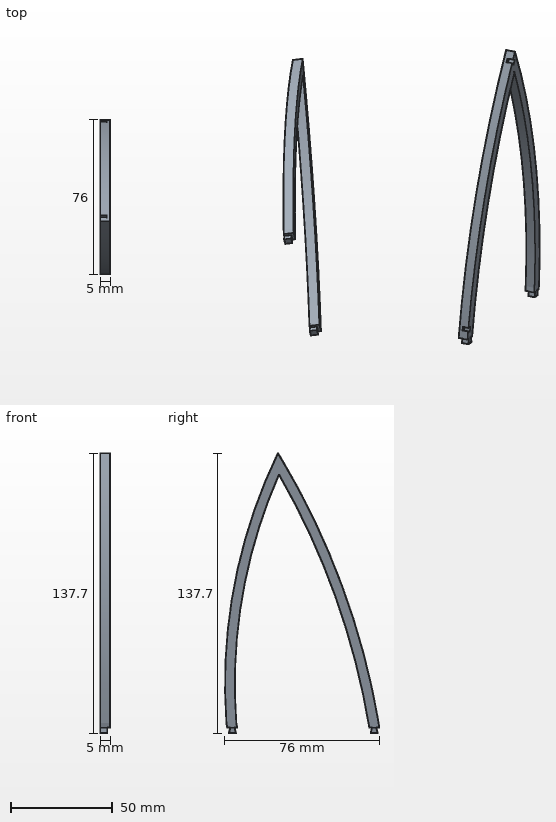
import cadquery as cq
import math

thickness = 5.0
rail_width = 5.0
foot_height = 2.8

long_centre = (-331.4, -57.2)
long_radius = 374.2
short_centre = (222.5, 24.1)
short_radius = 260.5

heel_height = 5.1
heel_shift = 0.4

tab_neck = 2.2
tab_tip = 3.6
tab_thickness = 3.6
tab_centres_y = (35.4, -34.3)
socket_mouth = 1.8
socket_base = 2.5
socket_depth = 1.9
socket_thickness = 3.2
socket_heights = (7.7, 133.3)


def arc_point(centre, radius, side, z):
    """Point of a circle at height z, on its +Y (side 1) or -Y (side -1) half."""
    return (centre[0] + side * math.sqrt(radius**2 - (z - centre[1]) ** 2), z)


def apex(long_r, short_r):
    """Upper crossing of a circle of the long rail and one of the short rail."""
    dy = short_centre[0] - long_centre[0]
    dz = short_centre[1] - long_centre[1]
    distance = math.hypot(dy, dz)
    along = (distance**2 + long_r**2 - short_r**2) / (2 * distance)
    across = math.sqrt(long_r**2 - along**2)
    y = long_centre[0] + (along * dy - across * dz) / distance
    z = long_centre[1] + (along * dz + across * dy) / distance
    return (y, z)


def prism(sketch, depth):
    """Close an outline and extrude it along X from the flat face at X = 0."""
    return sketch.close().extrude(depth)


def arch(inset):
    """Closed area under the arch, bounded by both rail circles moved inwards."""
    long_r = long_radius - inset
    short_r = short_radius - inset
    tip = apex(long_r, short_r)
    middle_z = (heel_height + tip[1]) / 2
    heel_top = arc_point(short_centre, short_r, -1, heel_height)
    sketch = (
        cq.Workplane("YZ")
        .moveTo(*arc_point(long_centre, long_r, 1, foot_height))
        .threePointArc(arc_point(long_centre, long_r, 1, middle_z), tip)
        .threePointArc(arc_point(short_centre, short_r, -1, middle_z), heel_top)
        .lineTo(heel_top[0] + heel_shift, foot_height)
    )
    return prism(sketch, thickness)


def tab(y):
    """Dovetail tab hanging below a foot, widening towards its tip."""
    sketch = (
        cq.Workplane("YZ")
        .moveTo(y - tab_neck / 2, foot_height)
        .lineTo(y + tab_neck / 2, foot_height)
        .lineTo(y + tab_tip / 2, 0)
        .lineTo(y - tab_tip / 2, 0)
    )
    return prism(sketch, tab_thickness)


def socket(z):
    """Dovetail cutter pointing from the outer edge towards the long rail's centre."""
    y = arc_point(long_centre, long_radius, 1, z)[0]
    angle = math.degrees(math.atan2(z - long_centre[1], y - long_centre[0]))
    sketch = (
        cq.Workplane("YZ")
        .moveTo(0, -socket_mouth / 2)
        .lineTo(0, socket_mouth / 2)
        .lineTo(-socket_depth, socket_base / 2)
        .lineTo(-socket_depth, -socket_base / 2)
    )
    cutter = prism(sketch, socket_thickness)
    return cutter.rotate((0, 0, 0), (1, 0, 0), angle).translate((0, y, z))


result = arch(0).cut(arch(rail_width))
for tab_y in tab_centres_y:
    result = result.union(tab(tab_y))
for socket_z in socket_heights:
    result = result.cut(socket(socket_z))